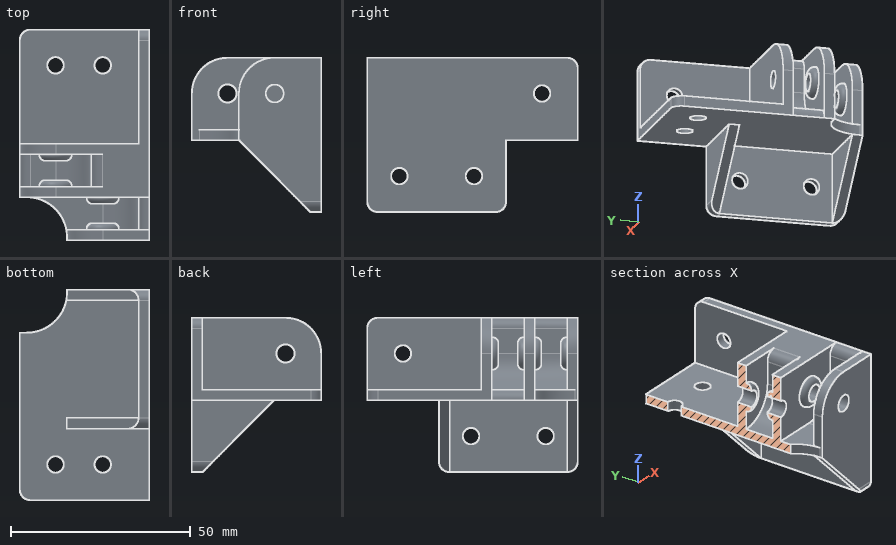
import cadquery as cq

length = 58.7
width = 36.1
height = 43.0

wall = 3.0
edge_round = 3.0
ear_round = 10.0

pocket_width = 9.0
block_depth = 3 * wall + 2 * pocket_width
middle_ear_front = wall + pocket_width
middle_ear_back = middle_ear_front + wall
rear_ear_front = middle_ear_back + pocket_width
upper_height = 23.0
plate_bottom = height - upper_height
plate_top = plate_bottom + wall
front_ear_offset = 13.15

pin_diameter = 5.0
pin_z = height - ear_round
rear_pin_x = ear_round
front_pin_x = front_ear_offset + ear_round
boss_diameter = 9.05
boss_height = 1.8
boss_round = 1.7

screw_diameter = 4.5
screw_inset = 10.0
flange_depth = 38.75
flange_screw_inset = 9.0
flange_screw_z = plate_bottom - screw_inset

relief_x = 2.05
relief_radius = front_ear_offset - relief_x
relief_y = middle_ear_front - relief_radius


def box(x0, x1, y0, y1, z0, z1):
    """Box between two opposite corners."""
    return cq.Workplane("XY").box(x1 - x0, y1 - y0, z1 - z0, centered=False).translate((x0, y0, z0))


def along_y(profile, y0, y1):
    """Extrude a closed XZ profile from y0 to y1."""
    return profile.extrude(y0 - y1).translate((0, y0, 0))


def cylinder_y(x, diameter, y0, y1):
    """Cylinder on a pin axis."""
    return along_y(cq.Workplane("XZ").center(x, pin_z).circle(diameter / 2), y0, y1)


def ear_block(x_left, y0, y1):
    """Solid block whose upper left edge has the ear round."""
    block = box(x_left, width, y0, y1, plate_bottom, height)
    return block.edges("|Y").edges("<X").edges(">Z").fillet(ear_round)


def pocket(x_left, y0, y1):
    """Space between two ears: flat floor, concave back, rounded upper lip."""
    back_x = x_left + 2 * ear_round
    profile = (
        cq.Workplane("XZ")
        .moveTo(x_left, plate_top)
        .lineTo(x_left + ear_round, plate_top)
        .radiusArc((back_x, pin_z), -ear_round)
        .lineTo(back_x, height - edge_round)
        .radiusArc((back_x + edge_round, height), edge_round)
        .lineTo(x_left, height)
        .close()
    )
    return along_y(profile, y0, y1)


def boss(x, y_face, direction):
    """Round-edged spacer standing on an ear face."""
    disc = cylinder_y(x, boss_diameter, y_face, y_face + boss_height)
    disc = disc.faces(">Y").edges().fillet(boss_round)
    if direction < 0:
        disc = disc.mirror("XZ", (0, y_face, 0))
    return disc


def gusset(y0, y1):
    """45 degree web from the plate down to the lower flange."""
    profile = cq.Workplane("XZ").polyline([
        (front_ear_offset, plate_bottom),
        (width - wall, 0),
        (width, 0),
        (width, plate_bottom),
    ]).close()
    return along_y(profile, y0, y1)


def screw_x(y, z):
    """Screw hole cutter through the right-hand wall."""
    hole = cq.Workplane("YZ").center(y, z).circle(screw_diameter / 2)
    return hole.extrude(2 * wall).translate((width - 1.5 * wall, 0, 0))


plate = box(0, width, rear_ear_front, length, plate_bottom, plate_top)
plate = plate.edges("|Z").edges("<X").edges(">Y").fillet(edge_round)
upright = box(width - wall, width, block_depth - wall, length, plate_bottom, height)
upright = upright.edges("|X").edges(">Y").edges(">Z").fillet(edge_round)

body = ear_block(0, middle_ear_front, block_depth)
body = body.union(ear_block(front_ear_offset, 0, middle_ear_front))
body = body.cut(pocket(0, middle_ear_back, rear_ear_front))
body = body.cut(pocket(front_ear_offset, wall, middle_ear_front))

lip_stock = box(0, edge_round, middle_ear_back, rear_ear_front, plate_bottom, plate_top)
lip_round = along_y(
    cq.Workplane("XZ").center(edge_round, plate_bottom).circle(edge_round),
    middle_ear_back,
    rear_ear_front,
)
body = body.cut(lip_stock.cut(lip_round))

floor = box(relief_x, front_ear_offset, relief_y, middle_ear_front, plate_bottom, plate_top)
relief = cq.Workplane("XY").center(relief_x, relief_y).circle(relief_radius).extrude(height)
floor = floor.cut(relief)

flange = box(width - wall, width, 0, flange_depth, 0, plate_top)
flange = flange.union(gusset(0, wall))
flange = flange.union(gusset(flange_depth - wall, flange_depth))
for corner_y, inward in [(0, 1), (flange_depth, -1)]:
    center_y = corner_y + inward * edge_round
    y_low = min(corner_y, center_y)
    y_high = max(corner_y, center_y)
    corner = box(0, width, y_low, y_high, 0, edge_round)
    rounding = cq.Workplane("YZ").center(center_y, edge_round).circle(edge_round).extrude(width)
    flange = flange.cut(corner.cut(rounding))

result = plate.union(upright).union(body).union(floor).union(flange)

for pin_x, front_face, back_face in [
    (front_pin_x, wall, middle_ear_front),
    (rear_pin_x, middle_ear_back, rear_ear_front),
]:
    result = result.union(boss(pin_x, front_face, 1))
    result = result.union(boss(pin_x, back_face, -1))

result = result.cut(cylinder_y(rear_pin_x, pin_diameter, middle_ear_front, block_depth))
result = result.cut(cylinder_y(front_pin_x, pin_diameter, 0, middle_ear_back))

plate_screws = [(x, length - screw_inset) for x in (rear_pin_x, front_pin_x)]
result = result.cut(
    cq.Workplane("XY").pushPoints(plate_screws).circle(screw_diameter / 2).extrude(plate_top + wall)
)
result = result.cut(screw_x(length - screw_inset, pin_z))
for y in (flange_screw_inset, flange_depth - flange_screw_inset):
    result = result.cut(screw_x(y, flange_screw_z))